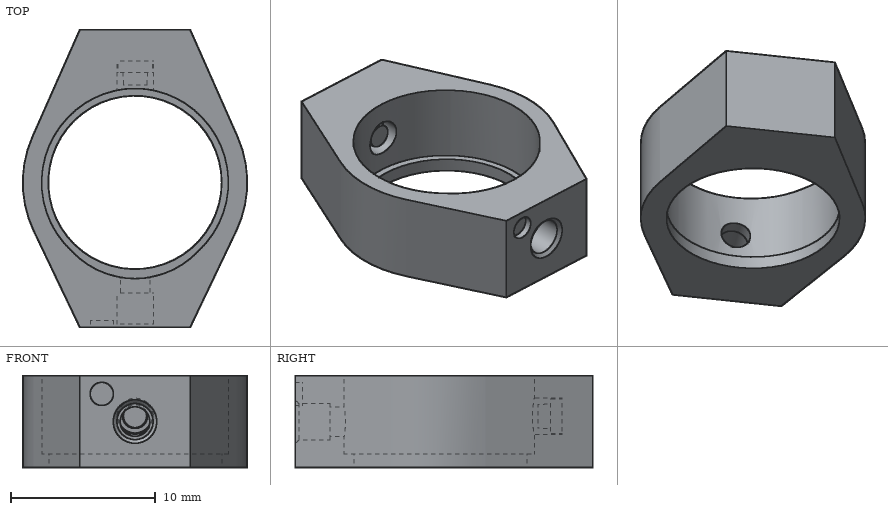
import cadquery as cq
import math

thickness = 6.35
end_width = 7.62
back_end_y = 10.54
front_end_y = -10.0
flank_radius = 7.75

aperture_diameter = 11.94
lip_height = 0.95
pocket_diameter = 12.88
seat_diameter = 12.7
seat_offset = 0.13
relief_diameter = aperture_diameter
relief_offset = -0.66

screw_z = thickness / 2
screw_mouth_diameter = 3.0
screw_hole_diameter = 2.5
screw_tip_diameter = 2.03
screw_hole_depth = 2.4

marker_diameter = 1.6
marker_depth = 0.5
marker_x = -2.29
marker_z = 5.08

recess_diameter = 2.5
recess_rise = 0.38
recess_z = screw_z + recess_rise
recess_floor_y = 8.4
plunger_shank_diameter = 2.35
plunger_nose_tip_diameter = 1.6
plunger_nose_base_diameter = 1.72
plunger_nose_y = 6.75
plunger_shoulder_y = 7.6


def tangent_point(corner_x, corner_y):
    """Point where a line from the corner touches the round flank."""
    corner_angle = math.atan2(corner_y, corner_x)
    swing = math.acos(flank_radius / math.hypot(corner_x, corner_y))
    touch_angle = corner_angle - math.copysign(swing, corner_y)
    return flank_radius * math.cos(touch_angle), flank_radius * math.sin(touch_angle)


def cylinder_y(diameter, x, z, start_y, end_y):
    """Cylinder along +Y between two Y positions."""
    return cq.Workplane(cq.Solid.makeCylinder(
        diameter / 2, end_y - start_y, cq.Vector(x, start_y, z), cq.Vector(0, 1, 0)))


def cone_y(start_diameter, end_diameter, z, start_y, end_y):
    """Cone along +Y at mid-width between two Y positions."""
    return cq.Workplane(cq.Solid.makeCone(
        start_diameter / 2, end_diameter / 2, end_y - start_y,
        cq.Vector(0, start_y, z), cq.Vector(0, 1, 0)))


def plate():
    """Solid plate before any holes."""
    half = end_width / 2
    back_x, back_y = tangent_point(half, back_end_y)
    front_x, front_y = tangent_point(half, front_end_y)
    return (
        cq.Workplane("XY")
        .moveTo(half, back_end_y)
        .lineTo(back_x, back_y)
        .threePointArc((flank_radius, 0), (front_x, front_y))
        .lineTo(half, front_end_y)
        .lineTo(-half, front_end_y)
        .lineTo(-front_x, front_y)
        .threePointArc((-flank_radius, 0), (-back_x, back_y))
        .lineTo(-half, back_end_y)
        .close()
        .extrude(thickness)
    )


def cut_pocket(body):
    """Clear aperture, then the three overlapping bores above the lip."""
    body = body.cut(cq.Workplane("XY").circle(aperture_diameter / 2).extrude(thickness))
    for diameter, offset in (
        (pocket_diameter, 0),
        (seat_diameter, seat_offset),
        (relief_diameter, relief_offset),
    ):
        body = body.cut(
            cq.Workplane("XY", origin=(0, offset, lip_height))
            .circle(diameter / 2)
            .extrude(thickness - lip_height)
        )
    return body


def cut_screw_hole(body):
    """45 degree mouth, wide hole, then a narrower hole into the pocket."""
    mouth_depth = (screw_mouth_diameter - screw_hole_diameter) / 2
    mouth = cone_y(
        screw_mouth_diameter, screw_hole_diameter, screw_z, front_end_y, front_end_y + mouth_depth)
    body = body.cut(mouth)
    body = body.cut(cylinder_y(screw_hole_diameter, 0, screw_z, front_end_y, front_end_y + screw_hole_depth))
    return body.cut(cylinder_y(screw_tip_diameter, 0, screw_z, front_end_y, 0))


def cut_marker_hole(body):
    return body.cut(
        cylinder_y(marker_diameter, marker_x, marker_z, front_end_y, front_end_y + marker_depth)
    )


def cut_recess(body):
    """Blind hole running from the pocket into the back wall."""
    return body.cut(cylinder_y(recess_diameter, 0, recess_z, 0, recess_floor_y))


def make_plunger():
    shank = cylinder_y(plunger_shank_diameter, 0, recess_z, plunger_shoulder_y, recess_floor_y)
    nose = cone_y(
        plunger_nose_tip_diameter, plunger_nose_base_diameter, recess_z, plunger_nose_y, plunger_shoulder_y
    )
    return shank.union(nose)


housing = plate()
housing = cut_pocket(housing)
housing = cut_screw_hole(housing)
housing = cut_marker_hole(housing)
housing = cut_recess(housing)

plunger = make_plunger()

result = cq.Compound.makeCompound([housing.val(), plunger.val()])